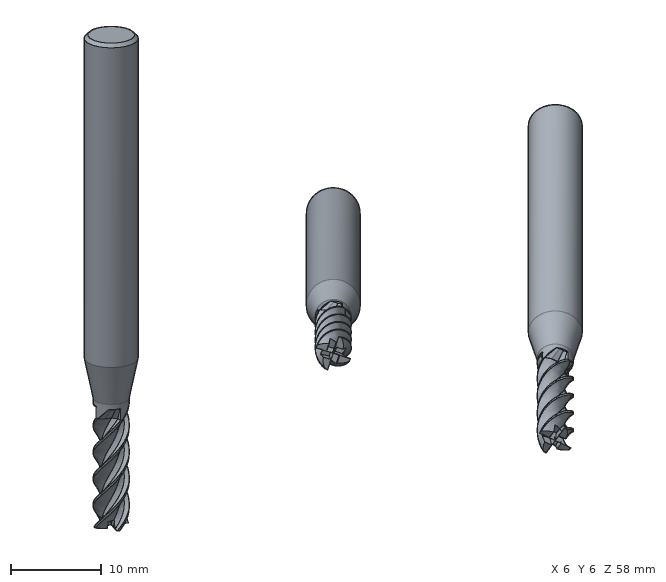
import cadquery as cq
import math

total_length = 58.0
shank_diameter = 6.0
shank_chamfer = 0.4
cone_top = 19.8
neck_top = 15.0
cutter_diameter = 4.0
cutter_length = 13.05
runout_top = 14.4

tooth_count = 4
helix_angle = 45.0
land_angle = 10.0
root_angle = 60.0
root_radius = 1.05
heel_radius = 1.5
heel_angle = 30.0
face_radius = 1.45
face_angle = 88.0

runout_end_width = 0.5
runout_end_depth = 0.2
clearance_radius = cutter_diameter

gash_depth = 1.15
gash_width = 0.75
gash_tilt = 12.0

shank_radius = shank_diameter / 2
cutter_radius = cutter_diameter / 2
tooth_pitch = 360.0 / tooth_count
lead = math.pi * cutter_diameter / math.tan(math.radians(helix_angle))
twist_per_length = 360.0 / lead


def polar(radius, angle):
    """XY point at a radius and an angle in degrees."""
    return (radius * math.cos(math.radians(angle)), radius * math.sin(math.radians(angle)))


def fluted_section():
    """Cross-section of the cutter at its end face."""
    section = cq.Workplane("XY").moveTo(cutter_radius, 0)
    for tooth in range(tooth_count):
        edge = tooth * tooth_pitch
        section = (
            section
            .threePointArc(polar(cutter_radius, edge + land_angle / 2), polar(cutter_radius, edge + land_angle))
            .threePointArc(polar(heel_radius, edge + heel_angle), polar(root_radius, edge + root_angle))
            .lineTo(*polar(face_radius, edge + face_angle))
            .lineTo(*polar(cutter_radius, edge + tooth_pitch))
        )
    return section.close()


def make_end_gashes():
    """Sloping notches in the end face, one in front of each cutting edge."""
    gash = (
        cq.Workplane("XY")
        .box(cutter_diameter, gash_width, 2 * gash_depth, centered=(False, False, True))
        .translate((0, -gash_width, 0))
        .rotate((0, 0, 0), (0, 1, 0), gash_tilt)
    )
    gashes = gash
    for tooth in range(1, tooth_count):
        gashes = gashes.union(gash.rotate((0, 0, 0), (0, 0, 1), tooth * tooth_pitch))
    return gashes


def make_cutter():
    """Helically fluted cutting end."""
    cutter = fluted_section().twistExtrude(cutter_length, cutter_length * twist_per_length)
    return cutter.cut(make_end_gashes())


def runout_outline(height, edge, width, depth):
    """Outline of a flute where it runs out, at a share of its full width and depth.

    The flute lies clockwise of a cutting edge and reaches out past the surface of the neck.
    """
    def point(radius, angle):
        return polar(
            cutter_radius - (cutter_radius - radius) * depth,
            edge - (tooth_pitch - angle) * width,
        )

    corners = [
        point(cutter_radius, land_angle),
        point(heel_radius, heel_angle),
        point(root_radius, root_angle),
        point(face_radius, face_angle),
        polar(cutter_radius, edge),
        polar(clearance_radius, edge),
        polar(clearance_radius, edge - (tooth_pitch - land_angle) * width),
    ]
    return cq.Wire.makePolygon([cq.Vector(x, y, height) for x, y in corners], close=True)


def make_flute_runout(edge):
    """End of one flute in the neck: it narrows towards its cutting face and rises to the surface."""
    return cq.Workplane(
        cq.Solid.makeLoft(
            [
                runout_outline(cutter_length, edge, 1, 1),
                runout_outline(runout_top, edge, runout_end_width, runout_end_depth),
            ],
            True,
        )
    )


def make_shank():
    """Round shank, cone and neck, turned in one piece, with the flutes running out in the neck."""
    shank = (
        cq.Workplane("YZ")
        .moveTo(0, cutter_length)
        .lineTo(-cutter_radius, cutter_length)
        .lineTo(-cutter_radius, neck_top)
        .lineTo(-shank_radius, cone_top)
        .lineTo(-shank_radius, total_length - shank_chamfer)
        .lineTo(-(shank_radius - shank_chamfer), total_length)
        .lineTo(0, total_length)
        .close()
        .revolve(360, (0, 0, 0), (0, 1, 0))
    )
    for tooth in range(tooth_count):
        edge = cutter_length * twist_per_length + tooth * tooth_pitch
        shank = shank.cut(make_flute_runout(edge))
    return shank


cutter = make_cutter()
shank = make_shank()

result = cq.Compound.makeCompound([*shank.solids().vals(), *cutter.solids().vals()])